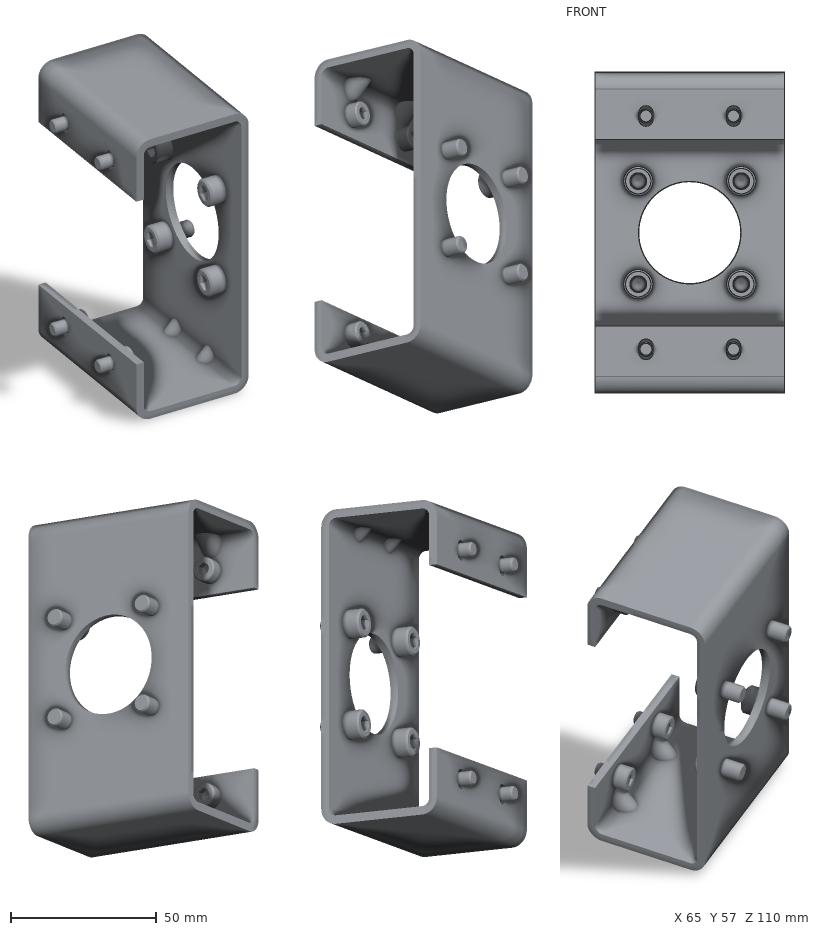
import cadquery as cq
import math

width = 65.0
height = 110.0
depth = 45.0
sheet = 3.0
inner_bend = 2.8
outer_bend = inner_bend + sheet
flange_height = 23.0
bore_diameter = 35.0

wall_bolt_pitch = 35.3
flange_bolt_pitch_x = 30.0
flange_bolt_pitch_z = 80.0

wall_bolt_diameter = 6.0
wall_head_diameter = 10.0
wall_head_height = 6.0
wall_head_chamfer = 0.7
wall_bolt_length = sheet + 7.0
wall_socket_flats = 5.0
flange_bolt_diameter = 5.0
flange_head_diameter = 8.5
flange_head_height = 5.0
flange_head_chamfer = 0.4
flange_bolt_length = sheet + 5.0
flange_socket_flats = 4.0
slot_length = 7.0
tip_chamfer_length = 0.7
tip_chamfer_width = 0.4
cone_angle = 120.0

rib_diameter = 9.0
wall_rib_leg = 4.5
wall_rib_pitch = 21.8
flange_rib_leg = 7.4
flange_rib_pitch = flange_bolt_pitch_x


def rounded_bar(y_size, z_size, bend):
    """Full-width bar centred on the bracket, rounded along its four X edges."""
    bar = cq.Workplane("XY").box(width, y_size, z_size).edges("|X").fillet(bend)
    return bar.translate((0, depth / 2, 0))


def grid(pitch_x, pitch_z):
    """X and Z of four points at the corners of a centred rectangle."""
    return [(x, z) for x in (-pitch_x / 2, pitch_x / 2) for z in (-pitch_z / 2, pitch_z / 2)]


def rib(x, corner_y, corner_z, leg):
    """Cylinder at 45 degrees across the inner corner of a bend."""
    inward_y = math.copysign(math.sqrt(0.5), depth / 2 - corner_y)
    inward_z = math.copysign(math.sqrt(0.5), -corner_z)
    axis_offset = leg * math.sqrt(0.5) - rib_diameter / 2
    half_length = leg + outer_bend
    start = cq.Vector(
        x,
        corner_y + axis_offset * inward_y - half_length * inward_z,
        corner_z + axis_offset * inward_z + half_length * inward_y,
    )
    along = cq.Vector(0, inward_z, -inward_y)
    return cq.Workplane(cq.Solid.makeCylinder(rib_diameter / 2, 2 * half_length, start, along))


def make_bracket():
    """Bent sheet with ribs in its bends, a bore, bolt holes and slots."""
    envelope = rounded_bar(depth, height, outer_bend)
    cavity = rounded_bar(depth - 2 * sheet, height - 2 * sheet, inner_bend)
    body = envelope.cut(cavity)

    opening = cq.Workplane("XY").box(width, 2 * outer_bend, height - 2 * flange_height)
    body = body.cut(opening)

    corner_z = height / 2 - sheet
    for side_z in (-corner_z, corner_z):
        for side_x in (-0.5, 0.5):
            wall_rib = rib(side_x * wall_rib_pitch, depth - sheet, side_z, wall_rib_leg)
            flange_rib = rib(side_x * flange_rib_pitch, sheet, side_z, flange_rib_leg)
            body = body.union(wall_rib.intersect(envelope))
            body = body.union(flange_rib.intersect(envelope))

    wall_plane = cq.Workplane("XZ", origin=(0, depth, 0))
    bore = wall_plane.circle(bore_diameter / 2).extrude(sheet)
    wall_holes = (
        wall_plane.pushPoints(grid(wall_bolt_pitch, wall_bolt_pitch))
        .circle(wall_bolt_diameter / 2)
        .extrude(sheet)
    )

    slots = (
        cq.Workplane("XZ", origin=(0, sheet, 0))
        .pushPoints(grid(flange_bolt_pitch_x, flange_bolt_pitch_z))
        .slot2D(slot_length, flange_bolt_diameter, 90)
        .extrude(sheet)
    )
    return body.cut(bore).cut(wall_holes).cut(slots)


def inward_cone(diameter, base_z):
    """Conical recess along Z, widest at base_z and pointing to +Z."""
    cone_height = diameter / 2 / math.tan(math.radians(cone_angle / 2))
    return cq.Workplane(cq.Solid.makeCone(diameter / 2, 0, cone_height, cq.Vector(0, 0, base_z)))


def make_screw(diameter, length, head_diameter, head_height, head_chamfer, socket_flats):
    """Socket-head screw along Z: head below Z = 0, shank above it."""
    head = cq.Workplane("XY").circle(head_diameter / 2).extrude(-head_height)
    head = head.faces("<Z").edges().chamfer(head_chamfer)
    radius = diameter / 2
    shank_profile = [
        (0, 0),
        (radius, 0),
        (radius, length - tip_chamfer_length),
        (radius - tip_chamfer_width, length),
        (0, length),
    ]
    shank = cq.Workplane("XZ").polyline(shank_profile).close().revolve(360, (0, 0), (0, 1))

    socket_depth = head_height / 2
    corner_diameter = socket_flats / math.cos(math.radians(30))
    hexagon = (
        cq.Workplane("XY", origin=(0, 0, -head_height))
        .transformed(rotate=(0, 0, 90))
        .polygon(6, corner_diameter)
        .extrude(socket_depth)
    )
    point = inward_cone(socket_flats, socket_depth - head_height)
    mouth = inward_cone(corner_diameter, -head_height)
    return head.union(shank).cut(hexagon).cut(point).cut(mouth)


def make_wall_screws():
    """Screws with heads inside the bracket and shanks pointing to +Y."""
    screw = make_screw(
        wall_bolt_diameter,
        wall_bolt_length,
        wall_head_diameter,
        wall_head_height,
        wall_head_chamfer,
        wall_socket_flats,
    ).rotate((0, 0, 0), (1, 0, 0), -90)
    places = grid(wall_bolt_pitch, wall_bolt_pitch)
    return [screw.translate((x, depth - sheet, z)).val() for x, z in places]


def make_flange_screws():
    """Screws with heads inside the bracket and shanks pointing to -Y."""
    screw = make_screw(
        flange_bolt_diameter,
        flange_bolt_length,
        flange_head_diameter,
        flange_head_height,
        flange_head_chamfer,
        flange_socket_flats,
    ).rotate((0, 0, 0), (1, 0, 0), 90)
    places = grid(flange_bolt_pitch_x, flange_bolt_pitch_z)
    return [screw.translate((x, sheet, z)).val() for x, z in places]


bracket = make_bracket()
wall_screws = make_wall_screws()
flange_screws = make_flange_screws()

result = cq.Compound.makeCompound([bracket.val(), *wall_screws, *flange_screws])